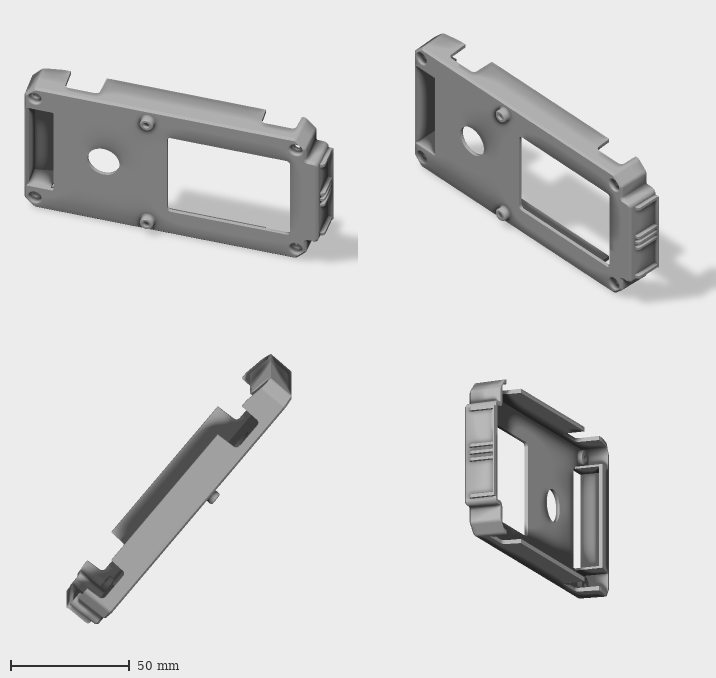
import cadquery as cq
import math


length = 132.1
width = 67.2
depth = 14.7
draft_angle = 1.5
plate_thickness = 1.6
wall = 1.8
left_wall = 1.7
corner_cut = 4.8
corner_rounding = 2.2
inner_corner_radius = 3.3
front_chamfer = 0.9

body_right = 124.7
tab_right = 130.0
tab_width = 44.9
tab_radius = 2.4
tab_root_radius = 0.7

slope_start_y = 12.4
slope_length = 13.6
hood_right = 11.6
hood_roof = 1.6
hood_side = 0.9

slot_left = 1.5
slot_right = 13.2
slot_width = 43.3
slot_radius = 0.5
round_hole_x = 35.3
round_hole_diameter = 14.1
window_left = 63.3
window_right = 117.5
window_width = 41.0
window_radius = 1.7

screw_left_x = 5.0
screw_right_x = 120.0
screw_z = 27.5
screw_diameter = 2.8
counterbore_diameter = 5.4
counterbore_depth = 2.1
counterbore_rounding = 0.8
post_diameter = 7.4
post_height = 3.7
peg_x = 55.0
peg_z = 27.5
peg_diameter = 5.8
peg_height = 3.0
peg_flare = 0.8
peg_tip_chamfer = 0.4
peg_hole_diameter = 3.0
peg_hole_depth = 2.0

notch_radius = 1.8
notch_side_slope = 0.4
left_notch = (16.5, 32.4, 4.4)
right_notch = (102.4, 118.2, 6.5)

lip_width = 39.4
lip_flange_thickness = 0.5
lip_rib_right = 131.7
lip_front_y = 2.8
lip_radius = 1.6
end_rib_width = 1.5
middle_rib_width = 1.2
middle_rib_spacing = 3.0

half_width = width / 2
half_tab = tab_width / 2
half_slot = slot_width / 2
half_window = window_width / 2
margin = 1.3
back_left = -(depth - slope_start_y) * math.tan(math.radians(draft_angle))


def front_plane(y):
    """Sketch plane at Y = y whose extrusions run forward, toward -Y."""
    return cq.Workplane("XZ", origin=(0, y, 0))


def box(x_range, y_range, z_range):
    """Box spanning the given ranges."""
    (x0, x1), (y0, y1), (z0, z1) = x_range, y_range, z_range
    return cq.Workplane("XY").box(x1 - x0, y1 - y0, z1 - z0, centered=False).translate((x0, y0, z0))


def depth_edges(x, z):
    """Selector for the pair of depth-wise edges at X = x, Z = +z and -z."""
    reach = 0.1
    y0, y1 = -margin, depth + margin
    boxes = [
        cq.selectors.BoxSelector((x - reach, y0, side * z - reach), (x + reach, y1, side * z + reach))
        for side in (1, -1)
    ]
    return boxes[0] + boxes[1]


def outer_body():
    """Drafted solid body, widest at the back; its back outline is rounded before drafting."""
    cut_ends = [
        (back_left, half_width - corner_cut),
        (back_left + corner_cut, half_width),
        (body_right - corner_cut, half_width),
        (body_right, half_width - corner_cut),
    ]
    upper = cut_ends + [(body_right, half_tab), (tab_right, half_tab)]
    lower = [(x, -z) for x, z in reversed(upper)]
    outline = front_plane(depth).polyline(upper + lower).close()
    sharp = outline.extrude(depth)
    rounded = sharp.edges(depth_edges(tab_right, half_tab)).fillet(tab_radius)
    rounded = rounded.edges(depth_edges(body_right, half_tab)).fillet(tab_root_radius)
    for x, z in cut_ends:
        rounded = rounded.edges(depth_edges(x, z)).fillet(corner_rounding)
    back_wire = rounded.faces(">Y").wires().val()
    body = front_plane(depth).add(back_wire).toPending().extrude(depth, taper=draft_angle)
    return body.faces("<Y").edges().chamfer(front_chamfer)


def cavity():
    """Hollow behind the front plate, reaching into the tab."""
    inner_half = half_width - wall
    inner_right = body_right - wall
    inner_tab_right = tab_right - wall
    inner_half_tab = half_tab - wall
    back = depth + margin
    main = box((left_wall, inner_right), (plate_thickness, back), (-inner_half, inner_half))
    main = main.edges("|Y").fillet(inner_corner_radius)
    tab = box((slot_right, inner_tab_right), (plate_thickness, back), (-inner_half_tab, inner_half_tab))
    space = main.union(tab)
    return space.edges(depth_edges(inner_right, inner_half_tab)).fillet(tab_root_radius + wall)


def hood():
    """Sloped roof with side walls that encloses the space behind the slot."""
    half_outer = half_slot + hood_side
    block = box((left_wall / 2, hood_right), (plate_thickness / 2, depth), (-half_outer, half_outer))
    slope = (depth - slope_start_y) / slope_length
    roof_y = slope_start_y - hood_roof
    hollow = (
        cq.Workplane("XY", origin=(0, 0, -half_slot))
        .polyline([
            (left_wall, 0),
            (slot_right, 0),
            (slot_right, roof_y + slope * slot_right),
            (left_wall, roof_y + slope * left_wall),
        ])
        .close()
        .extrude(slot_width)
    )
    return block.cut(hollow)


def slope_cut():
    """Wedge above the sloped left end, running past the shell on the left and at the back."""
    above = depth + margin
    return (
        cq.Workplane("XY", origin=(0, 0, -half_width))
        .polyline([
            (0, slope_start_y),
            (slope_length, depth),
            (slope_length, above),
            (-margin, above),
            (-margin, slope_start_y),
        ])
        .close()
        .extrude(width)
    )


def notch(left, right, bottom):
    """Rounded notch cut through both long side walls."""
    return (
        cq.Workplane("XY", origin=(0, 0, -half_width))
        .polyline([
            (left, depth),
            (left + notch_side_slope, bottom),
            (right - notch_side_slope, bottom),
            (right, depth),
        ])
        .close()
        .extrude(width)
        .edges("|Z and <Y")
        .fillet(notch_radius)
    )


def plate_openings():
    slot = box((slot_left, slot_right), (0, plate_thickness), (-half_slot, half_slot))
    slot = slot.edges("|Y and >X").fillet(slot_radius)
    window = box((window_left, window_right), (0, plate_thickness), (-half_window, half_window))
    window = window.edges("|Y").fillet(window_radius)
    round_hole = front_plane(plate_thickness).center(round_hole_x, 0)
    round_hole = round_hole.circle(round_hole_diameter / 2).extrude(plate_thickness)
    return slot.union(window).union(round_hole)


def screw_points():
    return [(x, z) for x in (screw_left_x, screw_right_x) for z in (screw_z, -screw_z)]


def screw_posts():
    base_y = plate_thickness / 2
    return (
        front_plane(post_height)
        .pushPoints(screw_points())
        .circle(post_diameter / 2)
        .extrude(post_height - base_y)
    )


def screw_hole():
    """Through hole with a counterbore whose mouth is rounded, turned about the Y axis."""
    bore = screw_diameter / 2
    recess = counterbore_diameter / 2
    r = counterbore_rounding
    arc_offset = r * (1 - math.sqrt(0.5))
    return (
        cq.Workplane("XY")
        .moveTo(0, 0)
        .lineTo(recess + r, 0)
        .threePointArc((recess + arc_offset, arc_offset), (recess, r))
        .lineTo(recess, counterbore_depth)
        .lineTo(bore, counterbore_depth)
        .lineTo(bore, post_height)
        .lineTo(0, post_height)
        .close()
        .revolve(360, (0, 0, 0), (0, 1, 0))
    )


def peg():
    """Hollow-tipped peg with a flared root, turned about the Y axis."""
    radius = peg_diameter / 2
    bore = peg_hole_diameter / 2
    r = peg_flare
    arc_offset = r * (1 - math.sqrt(0.5))
    return (
        cq.Workplane("XY")
        .moveTo(0, plate_thickness / 2)
        .lineTo(radius + r, plate_thickness / 2)
        .lineTo(radius + r, 0)
        .threePointArc((radius + arc_offset, -arc_offset), (radius, -r))
        .lineTo(radius, -peg_height + peg_tip_chamfer)
        .lineTo(radius - peg_tip_chamfer, -peg_height)
        .lineTo(bore, -peg_height)
        .lineTo(bore, -peg_height + peg_hole_depth)
        .lineTo(0, -peg_height + peg_hole_depth)
        .close()
        .revolve(360, (0, 0, 0), (0, 1, 0))
    )


def lip():
    """Thin flange along the tab's back edge, carried by round-nosed ribs."""
    half_lip = lip_width / 2
    root_x = tab_right - wall / 2
    part = box((root_x, length), (depth - lip_flange_thickness, depth), (-half_lip, half_lip))
    end_z = half_lip - end_rib_width / 2
    ribs = [
        (-end_z, end_rib_width),
        (-middle_rib_spacing, middle_rib_width),
        (0, middle_rib_width),
        (middle_rib_spacing, middle_rib_width),
        (end_z, end_rib_width),
    ]
    for z, thickness in ribs:
        rib = box((root_x, lip_rib_right), (lip_front_y, depth), (z - thickness / 2, z + thickness / 2))
        part = part.union(rib.edges("|Z and >X and <Y").fillet(lip_radius))
    return part


result = outer_body().cut(cavity()).union(hood()).union(screw_posts()).union(lip())
result = result.cut(slope_cut()).cut(plate_openings())
for left, right, bottom in (left_notch, right_notch):
    result = result.cut(notch(left, right, bottom))
for x, z in screw_points():
    result = result.cut(screw_hole().translate((x, 0, z)))
for side in (1, -1):
    result = result.union(peg().translate((peg_x, 0, side * peg_z)))